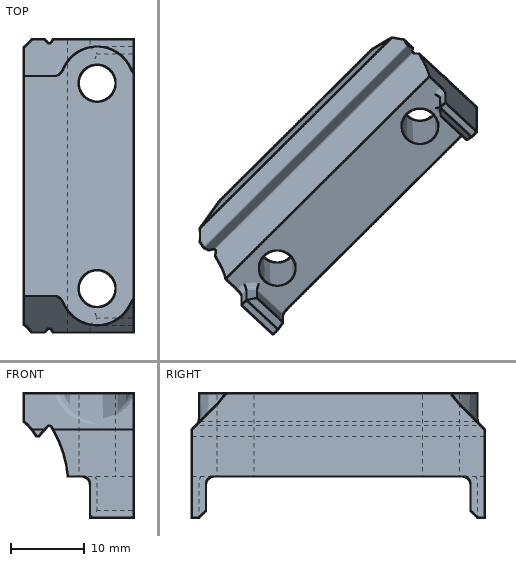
import cadquery as cq

WIDTH = 15.0
LENGTH = 40.0
HEIGHT = 17.0

LIP_EDGE_Z = -3.9
LIP_CURVE_MID = (1.0, -4.9)
LIP_TIP = (1.85, -6.15)
NOTCH_PEAK = (3.5, -4.25)
HOLLOW_MID = (5.05, -7.2)
HOLLOW_END_X = 6.0
BODY_BOTTOM_Z = -11.4
LIP_ROUND = 0.3

END_SLOPE = 5.0
HOLE_DIAMETER = 5.0
BOSS_RADIUS = 5.0
HOLE_X = 10.0
HOLE_END_DISTANCE = 6.0
HOLE_Y = LENGTH / 2 - HOLE_END_DISTANCE
BOSS_FILLET = 1.0

LEG_FRONT_X = 9.0
LEG_THICKNESS = 2.0
LEG_CHAMFER = 1.0
LEG_ROOT_FILLET = 1.0

TRIM = 2.0

PICK_MARGIN = 0.2


def make_body():
    """Extruded cross-section with the lip, the notch and the hollow below it."""
    body = (
        cq.Workplane("XZ", origin=(0, LENGTH / 2, 0))
        .lineTo(0, LIP_EDGE_Z)
        .threePointArc(LIP_CURVE_MID, LIP_TIP)
        .lineTo(*NOTCH_PEAK)
        .threePointArc(HOLLOW_MID, (HOLLOW_END_X, BODY_BOTTOM_Z))
        .lineTo(WIDTH, BODY_BOTTOM_Z)
        .lineTo(WIDTH, 0)
        .close()
        .extrude(LENGTH)
    )
    for x, z in (LIP_TIP, NOTCH_PEAK):
        corner = cq.selectors.NearestToPointSelector((x, 0, z))
        body = body.edges(corner).fillet(LIP_ROUND)
    return body


def make_end_envelope():
    """Oversized block with sloped ends and the bosses blended into the slopes."""
    half = LENGTH / 2
    top_half = half - END_SLOPE - TRIM
    bottom = BODY_BOTTOM_Z - TRIM
    block = (
        cq.Workplane("YZ", origin=(-TRIM, 0, 0))
        .polyline([
            (-half, bottom),
            (half, bottom),
            (half, -END_SLOPE),
            (top_half, TRIM),
            (-top_half, TRIM),
            (-half, -END_SLOPE),
        ])
        .close()
        .extrude(WIDTH + 2 * TRIM)
    )
    bosses = (
        cq.Workplane("XY", origin=(0, 0, bottom))
        .pushPoints([(HOLE_X, -HOLE_Y), (HOLE_X, HOLE_Y)])
        .circle(BOSS_RADIUS)
        .extrude(TRIM - bottom)
    )
    return block.union(bosses).edges("%ELLIPSE").fillet(BOSS_FILLET)


def make_leg(side):
    """Leg flush with one end (side is -1 or 1), chamfered on its inner edges."""
    leg = cq.Workplane("XY").box(
        WIDTH - LEG_FRONT_X, LEG_THICKNESS, HEIGHT + BODY_BOTTOM_Z, centered=False
    )
    leg = leg.faces(">Y").edges("<X or <Z").chamfer(LEG_CHAMFER)
    leg = leg.translate((LEG_FRONT_X, -LENGTH / 2, -HEIGHT))
    return leg if side < 0 else leg.mirror("XZ")


def in_leg_root(side):
    """Box that holds only the inner corner edges between one leg and the body."""
    outer = LENGTH / 2 + PICK_MARGIN
    inner = LENGTH / 2 - LEG_THICKNESS - PICK_MARGIN
    return cq.selectors.BoxSelector(
        (LEG_FRONT_X - PICK_MARGIN, side * outer, BODY_BOTTOM_Z - PICK_MARGIN),
        (WIDTH - PICK_MARGIN, side * inner, BODY_BOTTOM_Z + PICK_MARGIN),
    )


result = make_body().intersect(make_end_envelope())
for end in (-1, 1):
    result = result.union(make_leg(end))
    result = result.edges(in_leg_root(end)).fillet(LEG_ROOT_FILLET)

holes = (
    cq.Workplane("XY")
    .pushPoints([(HOLE_X, -HOLE_Y), (HOLE_X, HOLE_Y)])
    .circle(HOLE_DIAMETER / 2)
    .extrude(-HEIGHT)
)
result = result.cut(holes)